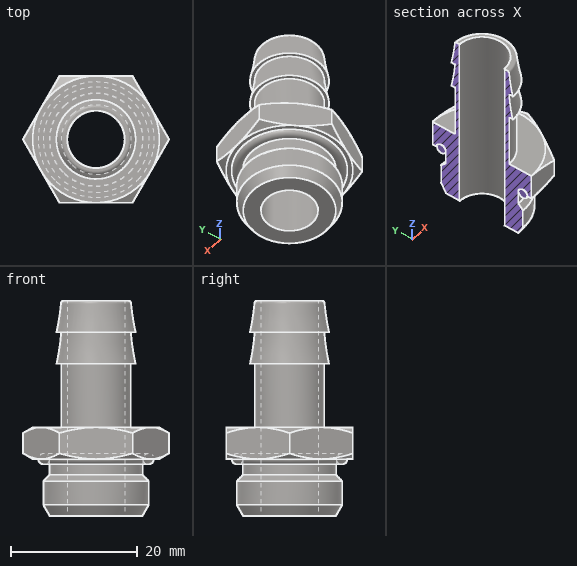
import cadquery as cq
import math

HEIGHT = 34.0
BORE_RADIUS = 9.0 / 2

THREAD_RADIUS = 16.65 / 2
NECK_RADIUS = 14.75 / 2
NECK_BOTTOM_Z = 6.5
LEAD_IN_HEIGHT = 1.77
LEAD_IN_ANGLE = 30.0

HEX_ACROSS_FLATS = 20.0
HEX_BOTTOM_Z = 9.0
HEX_HEIGHT = 5.0
HEX_TOP_Z = HEX_BOTTOM_Z + HEX_HEIGHT
HEX_CHAMFER_ANGLE = 30.0

TAIL_RADIUS = 11.0 / 2
BARB_RADIUS = 12.5 / 2
BARB_HEIGHT = 5.0
BARB_COUNT = 2
BARB_SAG = 0.085
TIP_ROUND = 0.48

RING_SECTION_RADIUS = 0.9
RING_CENTER_RADIUS = NECK_RADIUS + RING_SECTION_RADIUS
RING_BOTTOM_Z = 8.15
RING_CENTER_Z = RING_BOTTOM_Z + RING_SECTION_RADIUS


def cylinder(radius, bottom_z, top_z):
    return cq.Workplane("XY").workplane(offset=bottom_z).circle(radius).extrude(top_z - bottom_z)


def make_threaded_end():
    lead_in_radius = THREAD_RADIUS - LEAD_IN_HEIGHT * math.tan(math.radians(LEAD_IN_ANGLE))
    thread_top_z = NECK_BOTTOM_Z - (THREAD_RADIUS - NECK_RADIUS)
    profile = [
        (0, 0),
        (lead_in_radius, 0),
        (THREAD_RADIUS, LEAD_IN_HEIGHT),
        (THREAD_RADIUS, thread_top_z),
        (NECK_RADIUS, NECK_BOTTOM_Z),
        (NECK_RADIUS, HEX_BOTTOM_Z),
        (0, HEX_BOTTOM_Z),
    ]
    return cq.Workplane("XZ").polyline(profile).close().revolve(360, (0, 0), (0, 1))


def make_hexagon():
    flat_radius = HEX_ACROSS_FLATS / 2
    corner_radius = flat_radius / math.cos(math.radians(30))
    chamfer_drop = (corner_radius - flat_radius) * math.tan(math.radians(HEX_CHAMFER_ANGLE))
    prism = (
        cq.Workplane("XY")
        .workplane(offset=HEX_BOTTOM_Z)
        .polygon(6, 2 * corner_radius)
        .extrude(HEX_HEIGHT)
    )
    envelope_profile = [
        (0, HEX_BOTTOM_Z),
        (flat_radius, HEX_BOTTOM_Z),
        (corner_radius, HEX_BOTTOM_Z + chamfer_drop),
        (corner_radius, HEX_TOP_Z - chamfer_drop),
        (flat_radius, HEX_TOP_Z),
        (0, HEX_TOP_Z),
    ]
    envelope = cq.Workplane("XZ").polyline(envelope_profile).close().revolve(360, (0, 0), (0, 1))
    return prism.intersect(envelope)


def make_barb(top_z):
    bottom_z = top_z - BARB_HEIGHT
    middle = ((TAIL_RADIUS + BARB_RADIUS) / 2 - BARB_SAG, (top_z + bottom_z) / 2)
    return (
        cq.Workplane("XZ")
        .moveTo(0, bottom_z)
        .lineTo(BARB_RADIUS, bottom_z)
        .threePointArc(middle, (TAIL_RADIUS, top_z))
        .lineTo(0, top_z)
        .close()
        .revolve(360, (0, 0), (0, 1))
    )


def make_hose_tail():
    tail = cylinder(TAIL_RADIUS, HEX_TOP_Z, HEIGHT)
    for index in range(BARB_COUNT):
        tail = tail.union(make_barb(HEIGHT - index * BARB_HEIGHT))
    return tail.faces(">Z").edges().fillet(TIP_ROUND)


def make_seal_ring():
    return (
        cq.Workplane("XZ")
        .center(RING_CENTER_RADIUS, RING_CENTER_Z)
        .circle(RING_SECTION_RADIUS)
        .revolve(360, (-RING_CENTER_RADIUS, 0), (-RING_CENTER_RADIUS, 1))
    )


def make_fitting(ring):
    body = make_threaded_end().union(make_hexagon()).union(make_hose_tail())
    return body.cut(cylinder(BORE_RADIUS, 0, HEIGHT)).cut(ring)


seal_ring = make_seal_ring()
fitting = make_fitting(seal_ring)

result = cq.Compound.makeCompound([fitting.val(), seal_ring.val()])